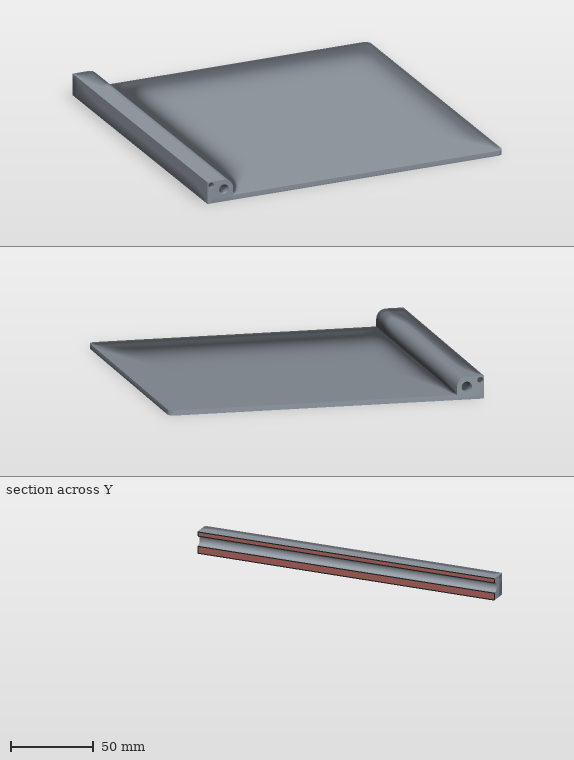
import cadquery as cq

width = 198.0
depth = 197.0
height = 14.0

plate_thickness = 3.2
plate_corner_radius = 4.0

block_depth = 17.0
block_round_radius = 6.1

bore_diameter = 6.3
bore_y = block_depth - block_round_radius
bore_z = height - block_round_radius

pin_hole_diameter = 3.8
pin_hole_depth = 4.2
pin_hole_inset = 2.4


def make_plate():
    plate = cq.Workplane("XY").box(width, depth, plate_thickness, centered=(True, False, False))
    return plate.edges("|Z and >Y").fillet(plate_corner_radius)


def make_hinge_block():
    block = cq.Workplane("XY").box(width, block_depth, height, centered=(True, False, False))
    return block.edges("|X and >Y and >Z").fillet(block_round_radius)


def cylinder_along_x(start_x, y, z, diameter, length):
    profile = cq.Workplane("YZ", origin=(start_x, y, z)).circle(diameter / 2)
    return profile.extrude(length)


result = make_plate().union(make_hinge_block())

result = result.cut(cylinder_along_x(-width / 2, bore_y, bore_z, bore_diameter, width))

for start_x in (-width / 2, width / 2 - pin_hole_depth):
    pin_hole = cylinder_along_x(
        start_x, pin_hole_inset, height - pin_hole_inset, pin_hole_diameter, pin_hole_depth
    )
    result = result.cut(pin_hole)